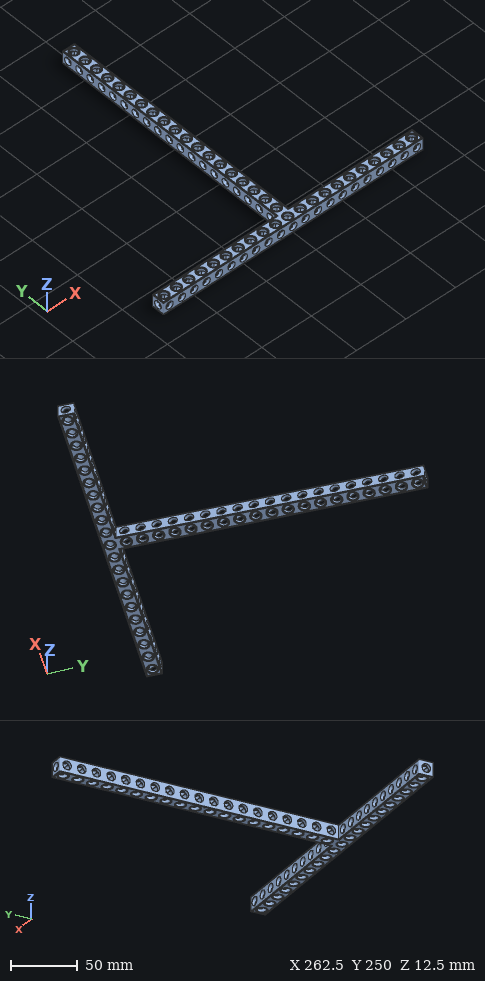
import cadquery as cq

BAR_LENGTH = 262.5
BAR_CELLS = 21
STEM_CELLS = 19
PITCH = BAR_LENGTH / BAR_CELLS
HALF = PITCH / 2
BAR_END = BAR_LENGTH / 2
STEM_END = STEM_CELLS * PITCH + HALF

HOLE_DIAMETER = 7.0
MOUTH_DIAMETER = 9.2
CORNER_RADIUS = 0.4

STEP_COUNT = 2
STEP_DEPTH = 0.13
STEP_WIDTH = (MOUTH_DIAMETER - HOLE_DIAMETER) / 2 / STEP_COUNT

bar_stations = [(i - BAR_CELLS // 2) * PITCH for i in range(BAR_CELLS)]
stem_stations = [(i + 1) * PITCH for i in range(STEM_CELLS)]
cell_centres = [(x, 0) for x in bar_stations] + [(0, y) for y in stem_stations]


def tee_prism(inset, height):
    """Tee-shaped prism centred on Z = 0, with its outline moved inwards by the inset."""
    bar_x = BAR_END - inset
    half_width = HALF - inset
    right_side = [
        (bar_x, -half_width),
        (bar_x, half_width),
        (half_width, half_width),
        (half_width, STEM_END - inset),
    ]
    left_side = [(-x, y) for x, y in reversed(right_side)]
    base = cq.Workplane("XY", origin=(0, 0, -height / 2))
    return base.polyline(right_side + left_side).close().extrude(height)


def make_tee():
    """Solid tee with rounded upright edges and stepped top and bottom rims."""
    tee = tee_prism(STEP_COUNT * STEP_WIDTH, PITCH)
    for step in range(STEP_COUNT):
        drop = (STEP_COUNT - step) * STEP_DEPTH
        tee = tee.union(tee_prism(step * STEP_WIDTH, PITCH - 2 * drop))
    rounded_envelope = tee_prism(0, PITCH).edges("|Z").fillet(CORNER_RADIUS)
    return tee.intersect(rounded_envelope)


def bores(plane, centres, start, length, diameter=HOLE_DIAMETER):
    """Round cutters normal to a plane, running from the start offset over the given length."""
    base = cq.Workplane(plane).workplane(offset=start)
    return base.pushPoints(centres).circle(diameter / 2).extrude(length)


def cut_vertical_holes(part):
    """Through holes along Z, with a stepped mouth at the top and bottom."""
    part = part.cut(bores("XY", cell_centres, -HALF, PITCH))
    for step in range(1, STEP_COUNT + 1):
        depth = step * STEP_DEPTH
        diameter = MOUTH_DIAMETER - 2 * (step - 1) * STEP_WIDTH
        for floor in (HALF - depth, -HALF):
            part = part.cut(bores("XY", cell_centres, floor, depth, diameter))
    return part


def cut_cross_holes(part):
    """Plain holes sideways through the bar along Y and through the stem along X."""
    bar_centres = [(0, x) for x in bar_stations if x != 0]
    stem_centres = [(y, 0) for y in stem_stations]
    part = part.cut(bores("ZX", bar_centres, -HALF, PITCH))
    return part.cut(bores("YZ", stem_centres, -HALF, PITCH))


def cut_long_bores(part):
    """One bore along the whole bar, and one along the stem and on through the bar."""
    part = part.cut(bores("YZ", [(0, 0)], -BAR_END, BAR_LENGTH))
    return part.cut(bores("ZX", [(0, 0)], -HALF, HALF + STEM_END))


result = cut_long_bores(cut_cross_holes(cut_vertical_holes(make_tee())))